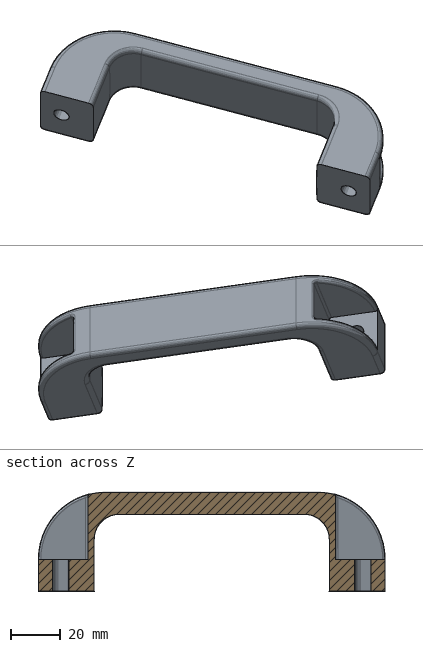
import cadquery as cq
import math

length = 140.0
height = 40.0
width = 25.8

leg_thickness = 22.7
bar_thickness = 9.1
outer_bend_radius = 27.2
inner_bend_radius = 10.0
edge_radius = 2.0
crown_height = 0.3

hole_diameter = 6.5
hole_inset = 9.0
pocket_length = 20.0
pocket_width = 2 * hole_inset
pocket_corner_radius = 1.0
pocket_lip_radius = 1.0

half_length = length / 2
pocket_floor = height - outer_bend_radius
hole_spacing = length - 2 * hole_inset
pocket_wall_x = half_length - pocket_length


def make_crown(half_span, opening_height, bend_radius):
    """Shallow bulge across the inner faces, following the U of the opening."""
    bend_x = half_span - bend_radius
    bend_y = opening_height - bend_radius
    diagonal = bend_radius * math.sqrt(0.5)
    path = (
        cq.Workplane("XY")
        .moveTo(-half_span, 0)
        .lineTo(-half_span, bend_y)
        .threePointArc((-bend_x - diagonal, bend_y + diagonal), (-bend_x, opening_height))
        .lineTo(bend_x, opening_height)
        .threePointArc((bend_x + diagonal, bend_y + diagonal), (half_span, bend_y))
        .lineTo(half_span, 0)
    )
    return (
        cq.Workplane("XZ")
        .moveTo(-half_span, -width / 2)
        .threePointArc((-half_span + crown_height, 0), (-half_span, width / 2))
        .close()
        .sweep(path)
    )


def make_body():
    """U-shaped handle with its feet at Y = 0, centred on X and Z."""
    half_span = half_length - leg_thickness + crown_height
    opening_height = height - bar_thickness + crown_height
    bend_radius = inner_bend_radius + crown_height
    outer = (
        cq.Workplane("XY")
        .box(length, height, width, centered=(True, False, True))
        .edges("|Z and >Y")
        .fillet(outer_bend_radius)
    )
    opening = (
        cq.Workplane("XY")
        .box(2 * half_span, opening_height, width, centered=(True, False, True))
        .edges("|Z and >Y")
        .fillet(bend_radius)
    )
    body = outer.cut(opening).union(make_crown(half_span, opening_height, bend_radius))
    return body.faces("<Z or >Z").edges("not <Y").fillet(edge_radius)


def make_pocket(side):
    """Pocket over one foot, open through the outer bend."""
    return (
        cq.Workplane("XY")
        .box(length, height, pocket_width, centered=(False, False, True))
        .edges("|Y and <X")
        .fillet(pocket_corner_radius)
        .translate((pocket_wall_x, pocket_floor, 0))
        .rotate((0, 0, 0), (0, 1, 0), 0 if side > 0 else 180)
    )


def round_pocket_lips(body):
    """Round the rims where the pockets break through the outer bends."""
    reach_z = (pocket_width + pocket_lip_radius) / 2
    rim_zone = cq.selectors.BoxSelector(
        (-length, pocket_floor + pocket_lip_radius, -reach_z),
        (length, 2 * height, reach_z),
    )
    bar_zone = cq.selectors.BoxSelector(
        (-half_length + leg_thickness, 0, -width),
        (half_length - leg_thickness, 2 * height, width),
    )
    return body.edges(rim_zone - bar_zone).edges("not |Y").fillet(pocket_lip_radius)


def make_holes():
    return (
        cq.Workplane("XZ")
        .pushPoints([(-hole_spacing / 2, 0), (hole_spacing / 2, 0)])
        .circle(hole_diameter / 2)
        .extrude(-height)
    )


result = make_body()
for end in (-1, 1):
    result = result.cut(make_pocket(end))
result = round_pocket_lips(result)
result = result.cut(make_holes())